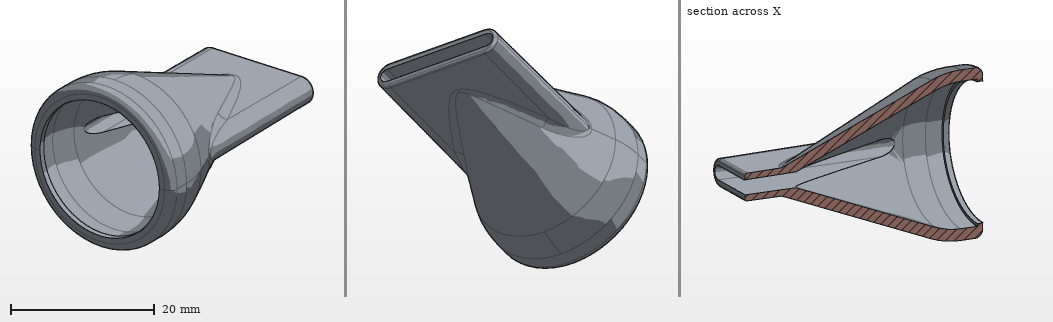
import cadquery as cq
import math

total_length = 37.3
body_diameter = 24.87
body_radius = body_diameter / 2
rim_fillet = 1.25
straight_length = 3.5
shoulder_radius = 12.3
cone_angle = math.radians(22.0)
wall = 1.75

lip_radius = 10.3
lip_depth = 0.9

blade_root_y = 8.0
blade_tip_width = 19.4
blade_tip_height = 4.1
blade_draft = 0.4
blade_end_fillet = 0.4
junction_fillet = 1.5

slot_tip_width = 18.15
slot_tip_height = 2.12
slot_draft = 0.4

blade_length = total_length - blade_root_y

turning_plane = cq.Plane(origin=(0, 0, 0), xDir=(0, 0, 1), normal=(-1, 0, 0))


def turned_cone(start_y, radius, arc_radius):
    """Cylinder, tangent shoulder arc and cone running to a point on the Y axis."""

    def shoulder_point(angle):
        return (
            radius - arc_radius * (1 - math.cos(angle)),
            straight_length + arc_radius * math.sin(angle),
        )

    arc_middle = shoulder_point(cone_angle / 2)
    arc_end = shoulder_point(cone_angle)
    apex_y = arc_end[1] + arc_end[0] / math.tan(cone_angle)
    return (
        cq.Workplane(turning_plane)
        .moveTo(0, start_y)
        .lineTo(radius, start_y)
        .lineTo(radius, straight_length)
        .threePointArc(arc_middle, arc_end)
        .lineTo(0, apex_y)
        .close()
        .revolve(360, (0, 0), (0, 1))
    )


def drafted_bar(width, height, draft):
    """Round-edged bar from the tip back into the body, widening by the draft angle."""
    tip_plane = cq.Plane(origin=(0, total_length, 0), xDir=(1, 0, 0), normal=(0, -1, 0))
    return cq.Workplane(tip_plane).slot2D(width, height).extrude(blade_length, taper=-draft)


def make_quarter_space():
    """Box covering the +X, +Z quarter of the part."""
    return cq.Workplane("XY").box(body_radius, total_length, body_radius, centered=False)


def make_outside():
    """Body and blade, blended on one quarter and mirrored to the other three."""
    body = turned_cone(0, body_radius, shoulder_radius).faces("<Y").edges().fillet(rim_fillet)
    blade = drafted_bar(blade_tip_width, blade_tip_height, blade_draft)
    blade = blade.faces(">Y").edges().fillet(blade_end_fillet)
    quarter = body.union(blade).intersect(make_quarter_space())
    quarter = quarter.edges("%HYPERBOLA").fillet(junction_fillet)
    half = quarter.union(quarter.mirror("YZ"))
    return half.union(half.mirror("XY"))


def make_cavity():
    """Funnel behind the lip, the mouth through the lip and the slot to the tip."""
    funnel = turned_cone(lip_depth, body_radius - wall, shoulder_radius - wall)
    slot = drafted_bar(slot_tip_width, slot_tip_height, slot_draft)
    mouth = cq.Workplane("XZ").circle(lip_radius).extrude(-lip_depth)
    return funnel.union(slot).union(mouth)


result = make_outside().cut(make_cavity())